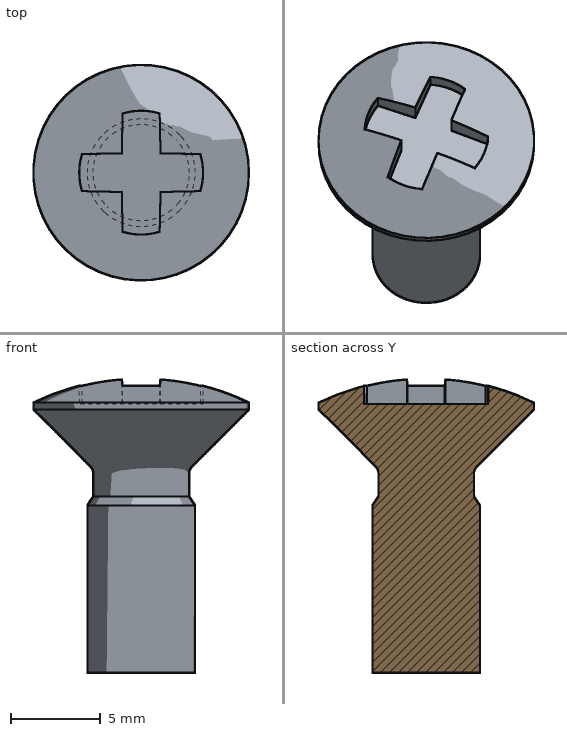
import cadquery as cq
import math

overall_height = 16.32
head_diameter = 12.0
head_radius = head_diameter / 2
shank_radius = head_radius / 2
neck_radius = 2.68

shank_top = 9.32
shoulder_top = 9.81
rim_bottom = 14.64
rim_top = 15.03

neck_fillet = 0.52
cone_angle = math.radians(45)

arm_width_outer = 2.05
arm_width_inner = 2.15
recess_radius = 3.45
recess_floor = 14.95

crest_radius = arm_width_inner / math.sqrt(2)
dome_drop = overall_height - rim_top
center_height = (crest_radius**2 + dome_drop**2 - head_radius**2) / (2 * dome_drop)
dome_radius = math.hypot(head_radius, center_height)
dome_apex = rim_top + center_height + dome_radius


def dome_height(radius):
    """Height of the dome surface at a distance from the axis."""
    return rim_top + center_height + math.sqrt(dome_radius**2 - radius**2)


def make_body():
    """Revolve the half profile of shank, neck and raised countersunk head."""
    fillet_end_radius = neck_radius + neck_fillet * (1 - math.cos(cone_angle))
    fillet_end = rim_bottom - (head_radius - fillet_end_radius) / math.tan(cone_angle)
    fillet_start = fillet_end - neck_fillet * math.sin(cone_angle)
    half_angle = cone_angle / 2
    fillet_middle = (
        neck_radius + neck_fillet * (1 - math.cos(half_angle)),
        fillet_start + neck_fillet * math.sin(half_angle),
    )
    dome_middle = head_radius / 2
    profile = (
        cq.Workplane("XZ")
        .lineTo(shank_radius, 0)
        .lineTo(shank_radius, shank_top)
        .lineTo(neck_radius, shoulder_top)
        .lineTo(neck_radius, fillet_start)
        .threePointArc(fillet_middle, (fillet_end_radius, fillet_end))
        .lineTo(head_radius, rim_bottom)
        .lineTo(head_radius, rim_top)
        .threePointArc((dome_middle, dome_height(dome_middle)), (0, dome_apex))
        .close()
    )
    return profile.revolve(360, (0, 0, 0), (0, 1, 0))


def make_recess():
    """Cross with slightly tapering arms and rounded ends."""
    inner = arm_width_inner / 2
    outer = arm_width_outer / 2
    arm_end = math.sqrt(recess_radius**2 - outer**2)
    depth = dome_apex - recess_floor
    floor_plane = cq.Workplane("XY", origin=(0, 0, recess_floor))
    arm = (
        floor_plane.lineTo(inner, -inner)
        .lineTo(arm_end, -outer)
        .threePointArc((recess_radius, 0), (arm_end, outer))
        .lineTo(inner, inner)
        .close()
        .extrude(depth)
    )
    recess = arm
    for quarter_turn in range(1, 4):
        recess = recess.union(arm.rotate((0, 0, 0), (0, 0, 1), 90 * quarter_turn))
    return recess


result = make_body().cut(make_recess())